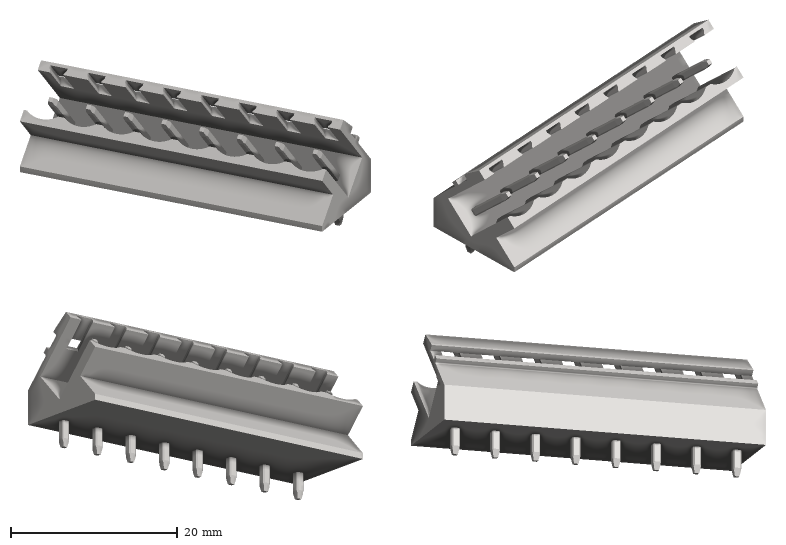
import cadquery as cq
import math

housing_length = 40.65
pin_count = 8
pitch = housing_length / pin_count
housing_depth = 13.3
tail_drop = 3.25

half_root = math.sqrt(0.5)
slot_width = 5.32
wall_reach = 8.5
slot_corner_z = 1.75

lower_wall = 1.55
lower_step_out = 4.3
slot_corner_y = (wall_reach + lower_wall) * half_root

upper_wall_top = slot_width + 0.9
rib_start = 2.48
rib_end = 3.3
rib_top = upper_wall_top + 0.65
rib_root_radius = 0.15
head_start = 5.35
head_flat_end = 5.7
head_top = slot_width + 1.7
wall_tip_top = slot_width + 1.3

keyway_end = 4.3
keyway_neck = 1.8
keyway_width = 2.35
keyway_neck_height = 0.12
keyway_flare_height = 0.6

scallop_chord = 4.23
scallop_depth = 0.75

pin_side = 1.0
pin_chamfer = 0.15
pin_tip_length = 1.0
pin_tip_side = 0.55
tail_y = 9.5
blade_up = 2.25
blade_reach = 7.65


def tilted(out, up):
    """Return (Y, Z) of a point given in slot coordinates."""
    return slot_corner_y + (up - out) * half_root, slot_corner_z + (up + out) * half_root


def slot_section(x, out):
    """Return a workplane square to the slot, with local axes X and "up"."""
    origin = (x, *tilted(out, 0))
    return cq.Workplane(cq.Plane(origin=origin, xDir=(1, 0, 0), normal=(0, -1, 1)))


def make_housing_block():
    """Side profile of the housing, extruded along X, with rounded roots at the latch rib."""
    notch_y, notch_z = tilted(lower_step_out, -lower_wall)
    rear_out = upper_wall_top - (housing_depth - slot_corner_y) / half_root
    profile = [
        (0, 0),
        (0, notch_z - notch_y),
        (notch_y, notch_z),
        tilted(wall_reach, -lower_wall),
        tilted(wall_reach, 0),
        tilted(0, 0),
        tilted(0, slot_width),
        tilted(wall_reach, slot_width),
        tilted(wall_reach, wall_tip_top),
        tilted(head_flat_end, head_top),
        tilted(head_start, head_top),
        tilted(head_start, upper_wall_top),
        tilted(rib_end, upper_wall_top),
        tilted(rib_end, rib_top),
        tilted(rib_start, rib_top),
        tilted(rib_start, upper_wall_top),
        tilted(rear_out, upper_wall_top),
        (housing_depth, 0),
    ]
    block = cq.Workplane("YZ").polyline(profile).close().extrude(housing_length / 2, both=True)
    for rib_side in (rib_start, rib_end):
        root = cq.selectors.NearestToPointSelector((0, *tilted(rib_side, upper_wall_top)))
        block = block.edges(root).fillet(rib_root_radius)
    return block


def make_keyway(x):
    """Dovetail slot, open at the wall tip and breaking through the thin part of the wall."""
    flare_start = slot_width + keyway_neck_height
    flare_end = slot_width + keyway_flare_height
    neck = keyway_neck / 2
    wide = keyway_width / 2
    outline = [
        (-neck, slot_width),
        (-neck, flare_start),
        (-wide, flare_end),
        (-wide, upper_wall_top),
        (wide, upper_wall_top),
        (wide, flare_end),
        (neck, flare_start),
        (neck, slot_width),
    ]
    return slot_section(x, keyway_end).polyline(outline).close().extrude(wall_reach - keyway_end)


def make_scallop(x):
    """Shallow round groove along the inner face of the lower wall."""
    half_chord = scallop_chord / 2
    return (
        slot_section(x, 0)
        .moveTo(-half_chord, 0)
        .threePointArc((0, -scallop_depth), (half_chord, 0))
        .close()
        .extrude(wall_reach)
    )


def pin_section(plane):
    """Return the closed outline of the pin: a square with chamfered corners."""
    half = pin_side / 2
    flat = half - pin_chamfer
    outline = [
        (half, -flat),
        (half, flat),
        (flat, half),
        (-flat, half),
        (-half, flat),
        (-half, -flat),
        (-flat, -half),
        (flat, -half),
    ]
    return cq.Workplane(plane).polyline(outline).close()


def make_pin_tip(plane):
    """Chamfered bar end, tapered on its four sides."""
    taper = math.degrees(math.atan((pin_side - pin_tip_side) / 2 / pin_tip_length))
    pyramid = cq.Workplane(plane).rect(pin_side, pin_side).extrude(pin_tip_length, taper=taper)
    return pin_section(plane).extrude(pin_tip_length).intersect(pyramid)


def make_pin(x):
    """Bent pin: a vertical tail, a mitred bend inside the housing and a blade along the slot."""
    bend_out = blade_up - (tail_y - slot_corner_y) / half_root
    bend = (x, *tilted(bend_out, blade_up))
    tail_end = (x, tail_y, pin_tip_length - tail_drop)
    blade_end = (x, *tilted(blade_reach - pin_tip_length, blade_up))

    tail_plane = cq.Plane(origin=tail_end, xDir=(1, 0, 0), normal=(0, 0, -1))
    blade_plane = cq.Plane(origin=blade_end, xDir=(1, 0, 0), normal=(0, -1, 1))
    path = cq.Workplane("XY").polyline([tail_end, bend, blade_end])
    shank = pin_section(tail_plane).sweep(path, transition="right")
    return shank.union(make_pin_tip(tail_plane)).union(make_pin_tip(blade_plane))


pin_places = [(i - (pin_count - 1) / 2) * pitch for i in range(pin_count)]
pins = [make_pin(x) for x in pin_places]

housing = make_housing_block()
for x, pin in zip(pin_places, pins):
    housing = housing.cut(make_keyway(x)).cut(make_scallop(x)).cut(pin)

result = cq.Compound.makeCompound([housing.val(), *[pin.val() for pin in pins]])